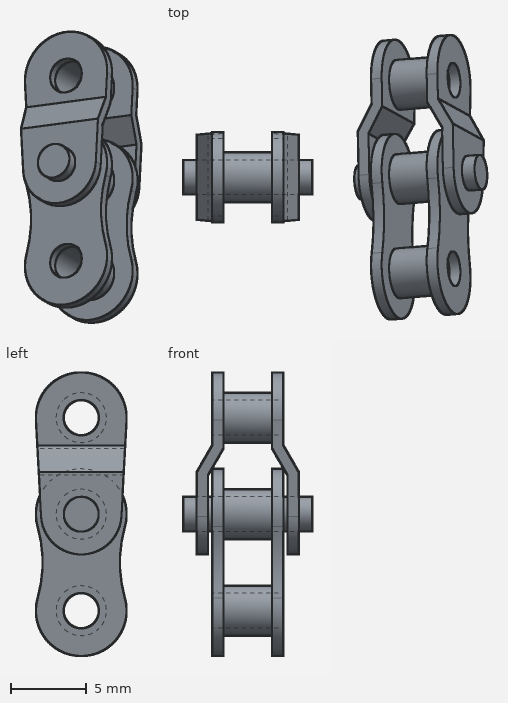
import cadquery as cq
import math

pitch = 6.35
plate_thickness = 0.76
roller_diameter = 3.3
roller_width = 3.18
pin_diameter = 2.3
pin_length = 8.51

eye_radius = 2.995
small_eye_radius = 2.65
waist_half_width = 2.55

plate_gap = 0.25
crank_angle = math.radians(30)
crank_top_z = 4.53

plate_inner_x = roller_width / 2
crank_offset = plate_thickness + plate_gap
crank_height = crank_offset / math.tan(crank_angle)
bend_shift = plate_thickness * math.tan(crank_angle / 2)

upper_z = pitch
pin_z = 0
lower_z = -pitch


def cylinder_along_x(diameter, length, z):
    """Cylinder centred on the YZ plane, with its axis at height z."""
    end_plane = cq.Workplane("YZ", origin=(-length / 2, 0, z))
    return end_plane.circle(diameter / 2).extrude(length)


def make_roller(z):
    bore = cylinder_along_x(pin_diameter, roller_width, z)
    return cylinder_along_x(roller_diameter, roller_width, z).cut(bore)


def make_pin():
    return cylinder_along_x(pin_diameter, pin_length, pin_z)


def cut_eye_holes(plate, heights):
    for z in heights:
        plate = plate.cut(cylinder_along_x(pin_diameter, pin_length, z))
    return plate


def make_straight_plate():
    """Waisted plate on the +X side, joining the pin and the lower roller."""
    half_pitch = pitch / 2
    middle_z = (pin_z + lower_z) / 2

    waist_radius = (half_pitch**2 + waist_half_width**2 - eye_radius**2) / (
        2 * (eye_radius - waist_half_width)
    )
    waist_center_y = waist_half_width + waist_radius
    eye_share = eye_radius / (eye_radius + waist_radius)
    tangent_y = waist_center_y * eye_share
    tangent_top_z = pin_z - half_pitch * eye_share
    tangent_bottom_z = lower_z + half_pitch * eye_share

    plate = (
        cq.Workplane("YZ", origin=(plate_inner_x, 0, 0))
        .moveTo(tangent_y, tangent_top_z)
        .threePointArc((0, pin_z + eye_radius), (-tangent_y, tangent_top_z))
        .threePointArc((-waist_half_width, middle_z), (-tangent_y, tangent_bottom_z))
        .threePointArc((0, lower_z - eye_radius), (tangent_y, tangent_bottom_z))
        .threePointArc((waist_half_width, middle_z), (tangent_y, tangent_top_z))
        .close()
        .extrude(plate_thickness)
    )
    return cut_eye_holes(plate, (pin_z, lower_z))


def make_cranked_plate():
    """Cranked plate on the +X side, joining the upper roller and the pin."""
    taper = math.asin((eye_radius - small_eye_radius) / pitch)
    upper_y = eye_radius * math.cos(taper)
    upper_tangent_z = upper_z - eye_radius * math.sin(taper)
    lower_y = small_eye_radius * math.cos(taper)
    lower_tangent_z = pin_z - small_eye_radius * math.sin(taper)
    upper_top_z = upper_z + eye_radius
    lower_bottom_z = pin_z - small_eye_radius
    crank_bottom_z = crank_top_z - crank_height

    upper_outer_x = plate_inner_x + plate_thickness
    lower_inner_x = plate_inner_x + crank_offset
    lower_outer_x = lower_inner_x + plate_thickness

    outline = (
        cq.Workplane("YZ")
        .moveTo(upper_y, upper_tangent_z)
        .threePointArc((0, upper_top_z), (-upper_y, upper_tangent_z))
        .lineTo(-lower_y, lower_tangent_z)
        .threePointArc((0, lower_bottom_z), (lower_y, lower_tangent_z))
        .close()
        .extrude(lower_outer_x)
    )
    bent_strip = (
        cq.Workplane("XZ")
        .moveTo(plate_inner_x, upper_top_z)
        .lineTo(upper_outer_x, upper_top_z)
        .lineTo(upper_outer_x, crank_top_z)
        .lineTo(lower_outer_x, crank_bottom_z)
        .lineTo(lower_outer_x, lower_bottom_z)
        .lineTo(lower_inner_x, lower_bottom_z)
        .lineTo(lower_inner_x, crank_bottom_z - bend_shift)
        .lineTo(plate_inner_x, crank_top_z - bend_shift)
        .close()
        .extrude(eye_radius, both=True)
    )
    return cut_eye_holes(bent_strip.intersect(outline), (upper_z, pin_z))


bodies = [make_pin().val()]
for roller_z in (upper_z, pin_z, lower_z):
    bodies.append(make_roller(roller_z).val())
for plate in (make_straight_plate(), make_cranked_plate()):
    bodies.append(plate.val())
    bodies.append(plate.mirror("YZ").val())

result = cq.Compound.makeCompound(bodies)